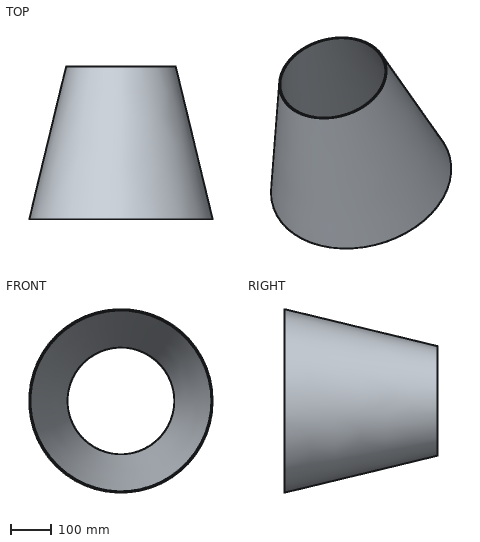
import cadquery as cq

large_diameter = 457.0
small_diameter = 273.0
length = 381.0
wall = 4.0

large_radius = large_diameter / 2
small_radius = small_diameter / 2

wall_section = (
    cq.Workplane("XY")
    .moveTo(large_radius - wall, 0)
    .lineTo(large_radius, 0)
    .lineTo(small_radius, length)
    .lineTo(small_radius - wall, length)
    .close()
)

result = wall_section.revolve(360, (0, 0, 0), (0, 1, 0))